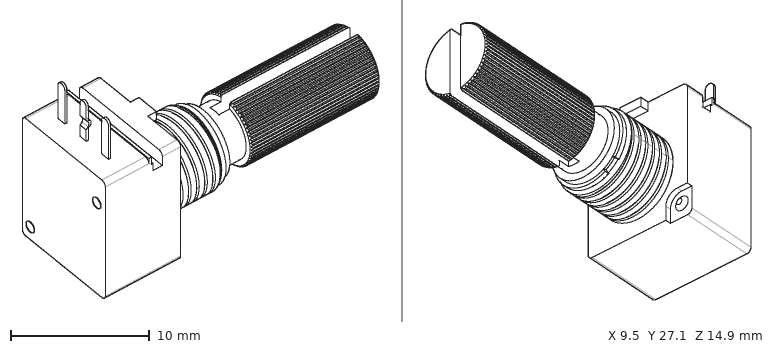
import cadquery as cq
import math


body_width = 9.5
body_depth = 7.0
body_bottom = -4.85
body_top = 6.4
body_corner_radius = 0.4

groove_front_y = 5.3
groove_step_y = 4.45
lip_front_y = 4.3
lip_rear_y = 4.05
groove_floor_z = 5.15
groove_step_z = 5.8
lip_top_z = 6.5

tab_width = 2.0
tab_thickness = 0.8
tab_length = 0.8

rivet_radius = 0.475
rivet_proud = 0.05
rivet_x = 3.8
upper_rivet_z = 3.85
lower_rivet_z = -3.6
front_plate_thickness = 0.5
relief_radius = 1.1
rivet_head_radius = 0.6
rivet_head_tip_radius = 0.25
rivet_head_height = 0.3

terminal_pitch = 2.5
outer_terminal_width = 0.8
middle_terminal_width = 0.7
terminal_thickness = 0.2
terminal_rear_y = 1.8
terminal_top_z = 10.0
kink_offset = 0.25
kink_center_z = 7.935
kink_outer_base = 0.72
kink_outer_crest = 0.38
kink_inner_base = 0.9
kink_inner_floor = 0.46
kink_ramp_depth = 0.17

thread_radius = 3.5
thread_pitch = 0.75
thread_turns = 7
thread_groove_width = 0.23
thread_groove_depth = 0.17
thread_end_y = 12.0
thread_chamfer = 0.3
thread_start_y = 6.63

ring_radius = 3.3
ring_inner_radius = 2.75
ring_end_y = 12.4
ring_gap_start_angle = 219.0
ring_gap_end_angle = 241.0
nose_radius = 3.0
nose_end_y = 13.0

neck_radius = 2.4
knob_radius = 3.0
knob_start_y = 15.0
shaft_end_y = 27.0
knob_chamfer = 0.15
serration_count = 60
serration_depth = 0.1
serration_width = 0.2
shaft_slot_width = 1.0
shaft_slot_floor_y = 14.0


def block(x_min, x_max, y_min, y_max, z_min, z_max):
    """Axis-aligned box between the given limits."""
    return cq.Workplane("XY").box(
        x_max - x_min, y_max - y_min, z_max - z_min, centered=False
    ).translate((x_min, y_min, z_min))


def front_plane(y):
    """Sketch plane at the given y, with local x along -X, local y along +Z, extruding to +Y."""
    return cq.Workplane(cq.Plane(origin=(0, y, 0), xDir=(-1, 0, 0), normal=(0, 1, 0)))


def cylinder(radius, y_min, y_max, x=0, z=0):
    """Cylinder parallel to the shaft axis."""
    return front_plane(y_min).center(-x, z).circle(radius).extrude(y_max - y_min)


def housing():
    """Rounded block with the stepped top groove, the lip and the locating tab."""
    half_width = body_width / 2
    body = block(-half_width, half_width, 0, body_depth, body_bottom, body_top)
    body = body.edges("|Y").fillet(body_corner_radius)
    top_z = lip_top_z
    body = body.cut(block(-half_width, half_width, groove_step_y, groove_front_y, groove_floor_z, top_z))
    body = body.cut(block(-half_width, half_width, lip_front_y, groove_step_y, groove_step_z, top_z))
    body = body.union(block(-half_width, half_width, lip_rear_y, lip_front_y, groove_step_z, top_z))
    return body.union(
        block(
            -tab_width / 2, tab_width / 2,
            body_depth - front_plate_thickness, body_depth + tab_length,
            body_top - tab_thickness, body_top,
        )
    )


def front_plate_relief():
    """Corner cutout of the front plate, rounded concentric with the lower rivet."""
    outer_x = -body_width / 2
    rear_y = body_depth - front_plate_thickness
    relief = cylinder(relief_radius, rear_y, body_depth, -rivet_x, lower_rivet_z)
    relief = relief.union(
        block(outer_x, -rivet_x, rear_y, body_depth, body_bottom, lower_rivet_z + relief_radius)
    )
    return relief.union(
        block(outer_x, relief_radius - rivet_x, rear_y, body_depth, body_bottom, lower_rivet_z)
    )


def lower_rivet_head():
    """Tapered rivet head standing in the front plate relief."""
    base_y = body_depth - front_plate_thickness
    return (
        front_plane(base_y).center(rivet_x, lower_rivet_z).circle(rivet_head_radius)
        .workplane(offset=rivet_head_height).circle(rivet_head_tip_radius).loft()
    )


def rivets():
    """Rivet ends standing slightly proud of the housing back."""
    upper = cylinder(rivet_radius, -rivet_proud, rivet_radius, rivet_x, upper_rivet_z)
    lower = cylinder(rivet_radius, -rivet_proud, rivet_radius, -rivet_x, lower_rivet_z)
    return upper.union(lower)


def terminal(x, width):
    """Flat terminal with a fully rounded tip, rooted inside the housing."""
    tip_radius = width / 2
    shoulder_z = terminal_top_z - tip_radius
    return (
        front_plane(terminal_rear_y)
        .moveTo(-x - tip_radius, groove_floor_z)
        .lineTo(-x - tip_radius, shoulder_z)
        .threePointArc((-x, terminal_top_z), (-x + tip_radius, shoulder_z))
        .lineTo(-x + tip_radius, groove_floor_z)
        .close()
        .extrude(terminal_thickness)
    )


def kinked_terminal():
    """Middle terminal with a snap-in kink pressed toward the shaft side."""
    front_y = terminal_rear_y + terminal_thickness
    ramp_y = terminal_rear_y + kink_ramp_depth
    half_width = middle_terminal_width / 2
    bump = (
        cq.Workplane("YZ", origin=(-half_width, 0, 0))
        .moveTo(front_y, kink_center_z - kink_outer_base / 2)
        .lineTo(front_y + kink_offset, kink_center_z - kink_outer_crest / 2)
        .lineTo(front_y + kink_offset, kink_center_z + kink_outer_crest / 2)
        .lineTo(front_y, kink_center_z + kink_outer_base / 2)
        .close()
        .extrude(middle_terminal_width)
    )
    hollow = (
        cq.Workplane("YZ", origin=(-half_width, 0, 0))
        .moveTo(terminal_rear_y, kink_center_z - kink_inner_base / 2)
        .lineTo(ramp_y, kink_center_z - kink_inner_floor / 2)
        .threePointArc(
            (terminal_rear_y + kink_offset, kink_center_z),
            (ramp_y, kink_center_z + kink_inner_floor / 2),
        )
        .lineTo(terminal_rear_y, kink_center_z + kink_inner_base / 2)
        .close()
        .extrude(middle_terminal_width)
    )
    return terminal(0, middle_terminal_width).union(bump).cut(hollow)


def thread_groove():
    """V-shaped right-hand helical groove, built along local Z and laid along Y."""
    overlap = 0.05
    half_width = thread_groove_width / 2
    flank_slope = half_width / thread_groove_depth
    mouth_half_width = half_width + overlap * flank_slope
    helix = cq.Wire.makeHelix(thread_pitch, thread_turns * thread_pitch, thread_radius)
    groove = (
        cq.Workplane("XZ")
        .moveTo(thread_radius - thread_groove_depth, 0)
        .lineTo(thread_radius + overlap, mouth_half_width)
        .lineTo(thread_radius + overlap, -mouth_half_width)
        .close()
        .sweep(cq.Workplane(helix), isFrenet=True)
    )
    return groove.rotate((0, 0, 0), (1, 0, 0), -90).translate((0, thread_start_y, 0))


def bushing():
    """Threaded bushing with its chamfered end, split ring and nose."""
    root_y = body_depth - front_plate_thickness
    blank = cylinder(thread_radius, root_y, thread_end_y)
    chamfered_blank = blank.faces(">Y").chamfer(thread_chamfer)
    threaded = blank.cut(thread_groove()).intersect(chamfered_blank)
    ring = cylinder(ring_radius, thread_end_y, ring_end_y).cut(ring_gap())
    return threaded.union(ring).union(cylinder(nose_radius, ring_end_y, nose_end_y))


def ring_gap():
    """Sector between the two ends of the split ring."""
    def corner(radius, angle):
        return (-radius * math.cos(math.radians(angle)), radius * math.sin(math.radians(angle)))

    reach = 2 * ring_radius
    sector = (
        front_plane(thread_end_y)
        .polyline([(0, 0), corner(reach, ring_gap_start_angle), corner(reach, ring_gap_end_angle)])
        .close()
        .extrude(ring_end_y - thread_end_y)
    )
    return sector.cut(cylinder(ring_inner_radius, thread_end_y, ring_end_y))


def serrated_bar():
    """Bar with V grooves around its circumference and round lands between them."""
    half_groove = serration_width / 2 / knob_radius
    tooth_angle = 2 * math.pi / serration_count
    root_radius = knob_radius - serration_depth

    def rim(radius, angle):
        return (radius * math.cos(angle), radius * math.sin(angle))

    outline = front_plane(knob_start_y).moveTo(*rim(root_radius, 0))
    for index in range(serration_count):
        root = index * tooth_angle
        next_root = root + tooth_angle
        outline = (
            outline.lineTo(*rim(knob_radius, root + half_groove))
            .threePointArc(
                rim(knob_radius, root + tooth_angle / 2),
                rim(knob_radius, next_root - half_groove),
            )
        )
        if index < serration_count - 1:
            outline = outline.lineTo(*rim(root_radius, next_root))
    return outline.close().extrude(shaft_end_y - knob_start_y)


def shaft():
    """Neck and serrated knob end, split by a slot from the tip."""
    envelope = cylinder(knob_radius, knob_start_y, shaft_end_y)
    envelope = envelope.faces("<Y or >Y").chamfer(knob_chamfer)
    knob = serrated_bar().intersect(envelope)
    whole = cylinder(neck_radius, nose_end_y, knob_start_y).union(knob)
    half_slot = shaft_slot_width / 2
    return whole.cut(
        block(-half_slot, half_slot, shaft_slot_floor_y, shaft_end_y, -knob_radius, knob_radius)
    )


result = (
    housing()
    .cut(front_plate_relief())
    .union(lower_rivet_head())
    .union(rivets())
    .union(terminal(-terminal_pitch, outer_terminal_width))
    .union(terminal(terminal_pitch, outer_terminal_width))
    .union(kinked_terminal())
    .union(bushing())
    .union(shaft())
)